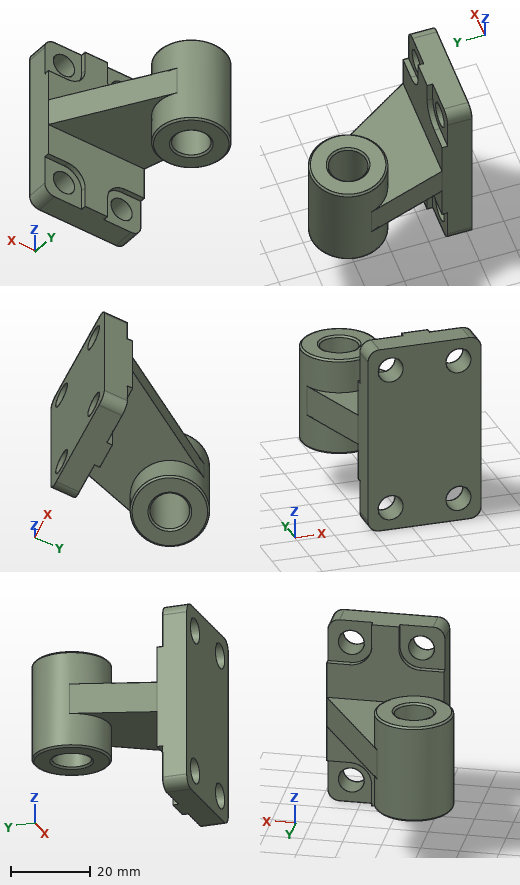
import cadquery as cq
import math

plate_width = 30.0
plate_height = 50.0
plate_thickness = 8.0
plate_corner_radius = 3.0

hole_diameter = 6.6
hole_edge_distance = 6.0
relief_radius = 5.5
relief_depth = 1.5
relief_size = hole_edge_distance + relief_radius

hub_x = 3.0
hub_y = 32.0
hub_diameter = 20.0
hub_length = 26.0
bore_diameter = 10.0
hub_chamfer = 0.5

arm_thickness = 8.0


def make_plate():
    plate = (
        cq.Workplane("XY")
        .box(plate_width, plate_thickness, plate_height, centered=(False, False, True))
        .edges("|Y")
        .fillet(plate_corner_radius)
    )
    hole_offset_x = plate_width / 2 - hole_edge_distance
    hole_offset_z = plate_height / 2 - hole_edge_distance
    for side_x in (-1, 1):
        for side_z in (-1, 1):
            hole_x = plate_width / 2 + side_x * hole_offset_x
            hole_z = side_z * hole_offset_z
            plate = plate.cut(make_corner_relief(hole_x, hole_z, side_x, side_z))
            plate = plate.cut(make_mounting_hole(hole_x, hole_z))
    return plate


def make_corner_relief(hole_x, hole_z, side_x, side_z):
    """Square pocket open to both plate edges, its inner corner rounded about the hole."""
    outward_shift = hole_edge_distance - relief_size / 2
    inner_x_face = ">X" if side_x < 0 else "<X"
    inner_z_edge = ">Z" if side_z < 0 else "<Z"
    return (
        cq.Workplane("XY")
        .box(relief_size, relief_depth, relief_size)
        .faces(inner_x_face)
        .edges(inner_z_edge)
        .fillet(relief_radius)
        .translate((
            hole_x + side_x * outward_shift,
            plate_thickness - relief_depth / 2,
            hole_z + side_z * outward_shift,
        ))
    )


def make_mounting_hole(hole_x, hole_z):
    return (
        cq.Workplane("XZ")
        .center(hole_x, hole_z)
        .circle(hole_diameter / 2)
        .extrude(-plate_thickness)
    )


def hub_tangent_point(start_x, start_y, side):
    """Point where a line from the start touches the hub; side +1 is left, -1 is right."""
    dx = hub_x - start_x
    dy = hub_y - start_y
    distance = math.hypot(dx, dy)
    hub_radius = hub_diameter / 2
    angle = math.atan2(dy, dx) + side * math.asin(hub_radius / distance)
    length = math.sqrt(distance**2 - hub_radius**2)
    return (start_x + length * math.cos(angle), start_y + length * math.sin(angle))


def make_arm():
    """Web with sides running from the plate's back corners tangent to the hub."""
    left_tangent = hub_tangent_point(0, plate_thickness, 1)
    right_tangent = hub_tangent_point(plate_width, plate_thickness, -1)
    return (
        cq.Workplane("XY")
        .moveTo(0, plate_thickness)
        .lineTo(plate_width, plate_thickness)
        .lineTo(*right_tangent)
        .lineTo(hub_x, hub_y)
        .lineTo(*left_tangent)
        .close()
        .extrude(arm_thickness / 2, both=True)
    )


def make_hub():
    return (
        cq.Workplane("XY")
        .center(hub_x, hub_y)
        .circle(hub_diameter / 2)
        .extrude(hub_length / 2, both=True)
        .faces("<Z or >Z")
        .edges()
        .chamfer(hub_chamfer)
    )


def make_bore():
    bore_radius = bore_diameter / 2
    half_length = hub_length / 2
    mouth_radius = bore_radius + hub_chamfer
    return (
        cq.Workplane("XZ")
        .moveTo(0, -half_length)
        .lineTo(mouth_radius, -half_length)
        .lineTo(bore_radius, -half_length + hub_chamfer)
        .lineTo(bore_radius, half_length - hub_chamfer)
        .lineTo(mouth_radius, half_length)
        .lineTo(0, half_length)
        .close()
        .revolve(360, (0, 0, 0), (0, 1, 0))
        .translate((hub_x, hub_y, 0))
    )


result = make_plate().union(make_arm()).union(make_hub()).cut(make_bore())